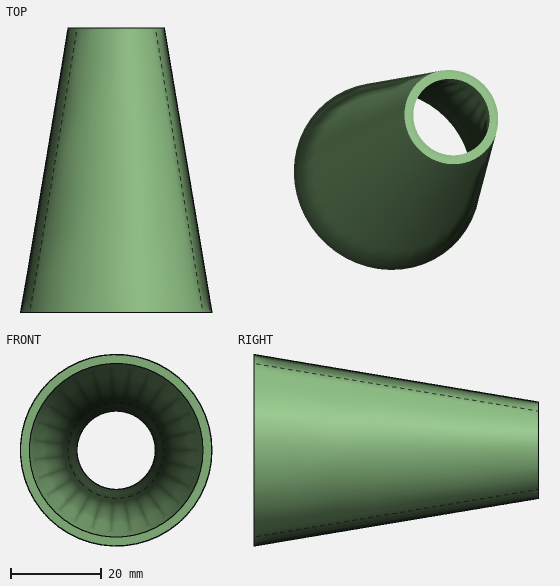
import cadquery as cq

length = 63.0
large_outer_diameter = 42.4
small_outer_diameter = 21.3
wall = 2.0

large_outer_radius = large_outer_diameter / 2
small_outer_radius = small_outer_diameter / 2


def make_reducer():
    """Revolve the slanted wall section around the Y axis, large end at Y = 0."""
    wall_section = cq.Workplane("XY").polyline([
        (large_outer_radius - wall, 0),
        (large_outer_radius, 0),
        (small_outer_radius, length),
        (small_outer_radius - wall, length),
    ]).close()
    return wall_section.revolve(360, (0, 0, 0), (0, 1, 0))


result = make_reducer()